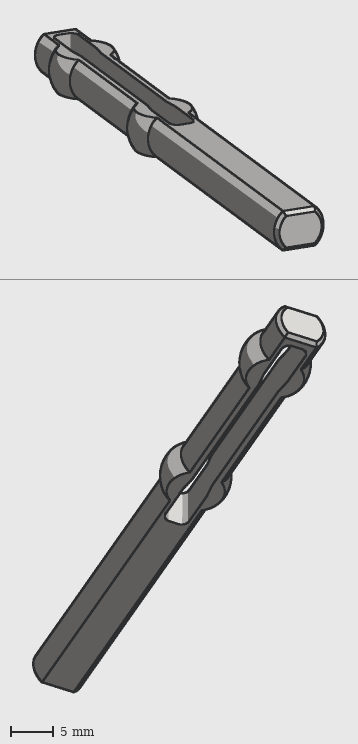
import cadquery as cq

length = 68.75
thickness = 5.0
rod_diameter = 6.5
end_chamfer = 0.5

bulge_diameter = 8.54
bulge_spacing = 22.15

slot_center_x = 18.7
slot_length = 34.4
slot_width = 3.1
slot_waist_width = 2.6
slot_corner_radius = 1.0
waist_length = 18.5
waist_taper_length = 2.0


def flat_bar():
    """Rod cut to a flat-sided section, chamfered around both ends."""
    rod = cq.Workplane("YZ").circle(rod_diameter / 2).extrude(length)
    flats = cq.Workplane("XY").box(length, rod_diameter, thickness).translate((length / 2, 0, 0))
    return rod.intersect(flats).faces("<X or >X").chamfer(end_chamfer)


def bulge(center_x):
    """Sphere, turned about the rod axis, trimmed to the bar's thickness."""
    radius = bulge_diameter / 2
    half_disc = cq.Workplane("XY").moveTo(-radius, 0).threePointArc((0, radius), (radius, 0)).close()
    sphere = half_disc.revolve(360, (0, 0, 0), (1, 0, 0))
    slab = cq.Workplane("XY").box(bulge_diameter, bulge_diameter, thickness)
    return sphere.intersect(slab).translate((center_x, 0, 0))


def waisted_slot():
    """Cutter for the slot, with rounded ends and a tapered narrow middle."""
    half_length = slot_length / 2
    half_width = slot_width / 2
    half_waist_width = slot_waist_width / 2
    waist_end = waist_length / 2
    taper_end = waist_end + waist_taper_length
    outline = [
        (-half_length, half_width),
        (-taper_end, half_width),
        (-waist_end, half_waist_width),
        (waist_end, half_waist_width),
        (taper_end, half_width),
        (half_length, half_width),
        (half_length, -half_width),
        (taper_end, -half_width),
        (waist_end, -half_waist_width),
        (-waist_end, -half_waist_width),
        (-taper_end, -half_width),
        (-half_length, -half_width),
    ]
    cutter = cq.Workplane("XY").polyline(outline).close().extrude(thickness / 2, both=True)
    end_corners = cutter.faces("<X or >X").edges("|Z")
    return end_corners.fillet(slot_corner_radius).translate((slot_center_x, 0, 0))


result = flat_bar()
for side in (-1, 1):
    result = result.union(bulge(slot_center_x + side * bulge_spacing / 2))
result = result.cut(waisted_slot())